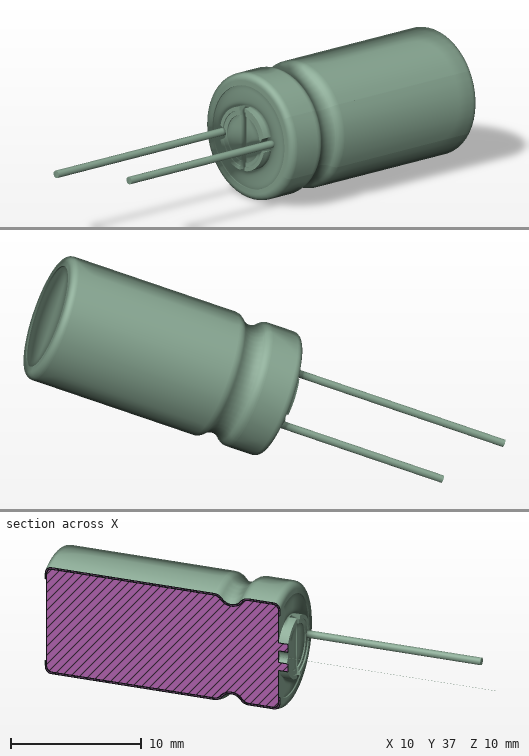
import cadquery as cq
import math

total_length = 37.0
body_length = 19.3
body_radius = 5.0
edge_radius = 0.5

sleeve_thickness = 0.1
opening_radius = 4.07
stripe_half_angle = 30.0

groove_y = 4.015
throat_half_width = 0.78
shoulder_width = 0.61
groove_angle = math.radians(48)
throat_radius = throat_half_width / math.sin(groove_angle)
shoulder_radius = shoulder_width / math.sin(groove_angle)

boss_radius = 2.5
boss_end_y = -0.65
ledge_radius = 2.22
ledge_depth = 0.1
recess_radius = 1.85
recess_depth = 0.22
slot_width = 0.55
slot_floor_y = 0.0

lead_radius = 0.3
lead_offset = 2.5
lead_clearance_radius = 0.55
long_lead_end_y = body_length - total_length
lead_length_difference = 2.95
short_lead_end_y = long_lead_end_y + lead_length_difference

face_y = sleeve_thickness


def cylinder(radius, start_y, end_y, x=0.0):
    """Cylinder parallel to Y, from start_y to end_y."""
    base = cq.Workplane("XZ", origin=(x, start_y, 0))
    return base.circle(radius).extrude(start_y - end_y)


def arc_point(center, radius, angle):
    """Point on an arc, with the angle measured from +X in the XY plane."""
    return (center[0] + radius * math.cos(angle), center[1] + radius * math.sin(angle))


def grooved_cylinder(inset):
    """Rounded, grooved solid whose surface lies inset below the outer surface."""
    outer = body_radius - inset
    corner = edge_radius - inset
    shoulder = shoulder_radius - inset
    throat = throat_radius + inset
    near_y = inset
    far_y = body_length - inset
    half_groove = throat_half_width + shoulder_width

    near_corner = (outer - corner, near_y + corner)
    far_corner = (outer - corner, far_y - corner)
    near_shoulder = (body_radius - shoulder_radius, groove_y - half_groove)
    far_shoulder = (body_radius - shoulder_radius, groove_y + half_groove)
    throat_center_x = near_shoulder[0] + (shoulder_radius + throat_radius) * math.cos(groove_angle)
    throat_center = (throat_center_x, groove_y)

    profile = (
        cq.Workplane("XY")
        .moveTo(0, near_y)
        .lineTo(near_corner[0], near_y)
        .threePointArc(arc_point(near_corner, corner, -math.pi / 4), (outer, near_corner[1]))
        .lineTo(outer, near_shoulder[1])
        .threePointArc(
            arc_point(near_shoulder, shoulder, groove_angle / 2),
            arc_point(near_shoulder, shoulder, groove_angle),
        )
        .threePointArc(
            (throat_center_x - throat, groove_y),
            arc_point(throat_center, throat, math.pi - groove_angle),
        )
        .threePointArc(
            arc_point(far_shoulder, shoulder, -groove_angle / 2),
            (outer, far_shoulder[1]),
        )
        .lineTo(outer, far_corner[1])
        .threePointArc(arc_point(far_corner, corner, math.pi / 4), (far_corner[0], far_y))
        .lineTo(0, far_y)
        .close()
    )
    return profile.revolve(360, (0, 0, 0), (0, 1, 0))


def make_boss():
    """Boss with a stepped recess, a cross slot and a clearance around each lead."""
    boss = cylinder(boss_radius, face_y, boss_end_y)
    ledge = cylinder(ledge_radius, boss_end_y + ledge_depth, boss_end_y)
    recess = cylinder(recess_radius, boss_end_y + recess_depth, boss_end_y)
    slot = (
        cq.Workplane("XZ", origin=(0, slot_floor_y, 0))
        .rect(slot_width, 2 * boss_radius)
        .extrude(slot_floor_y - boss_end_y)
    )
    boss = boss.cut(ledge).cut(recess).cut(slot)
    for side in (-1, 1):
        boss = boss.cut(cylinder(lead_clearance_radius, face_y, boss_end_y, side * lead_offset))
    return boss


def make_can():
    """Can filling the sleeve, with the split boss on its lead end."""
    return grooved_cylinder(sleeve_thickness).union(make_boss())


def make_wrap():
    """Full wrap of even thickness, open in the middle of both ends."""
    wrap = grooved_cylinder(0).cut(grooved_cylinder(sleeve_thickness))
    return wrap.cut(cylinder(opening_radius, 0, body_length))


def make_stripe_sector():
    """Wedge about the axis that contains the polarity stripe."""
    reach = 2 * body_radius
    half_width = reach * math.tan(math.radians(stripe_half_angle))
    return (
        cq.Workplane("XZ")
        .polyline([(0, 0), (reach, -half_width), (reach, half_width)])
        .close()
        .extrude(-body_length)
    )


def make_lead(x, end_y):
    """Round wire lead standing on the end face of the can."""
    return cylinder(lead_radius, face_y, end_y, x)


can = make_can()
wrap = make_wrap()
stripe_sector = make_stripe_sector()
sleeve = wrap.cut(stripe_sector)
stripe = wrap.intersect(stripe_sector)
leads = [
    make_lead(x, end_y)
    for x, end_y in ((-lead_offset, long_lead_end_y), (lead_offset, short_lead_end_y))
]

result = cq.Compound.makeCompound([
    can.val(),
    sleeve.val(),
    stripe.val(),
    *[lead.val() for lead in leads],
])